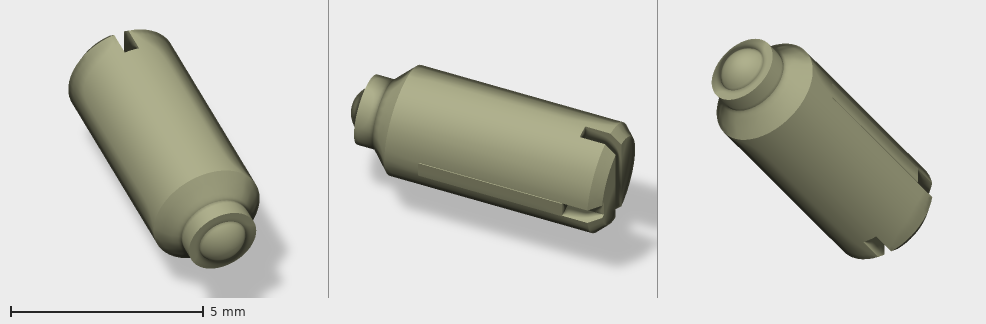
import cadquery as cq
import math

total_length = 7.4
body_diameter = 3.0
end_chamfer = 0.295
cone_start = 5.94
pin_diameter = 1.9
pin_end = 7.0
ball_diameter = 1.48
slot_width = 0.4
slot_depth = 1.0
key_length = 4.0
key_width = 0.47
key_height = 0.445

body_radius = body_diameter / 2
pin_radius = pin_diameter / 2
ball_radius = ball_diameter / 2
ball_center = total_length - ball_radius
cone_end = cone_start + body_radius - pin_radius
ball_exit_radius = math.sqrt(ball_radius**2 - (pin_end - ball_center) ** 2)
ball_arc_offset = ball_radius * math.sqrt(0.5)


def make_turned_body():
    """Chamfered body, cone, pin and protruding ball as one revolved profile."""
    profile = (
        cq.Workplane("XY")
        .lineTo(0, body_radius - end_chamfer)
        .lineTo(end_chamfer, body_radius)
        .lineTo(cone_start, body_radius)
        .lineTo(cone_end, pin_radius)
        .lineTo(pin_end, pin_radius)
        .lineTo(pin_end, ball_exit_radius)
        .threePointArc((ball_center + ball_arc_offset, ball_arc_offset), (total_length, 0))
        .close()
    )
    return profile.revolve(360, (0, 0, 0), (1, 0, 0))


def make_key_bar(start, length):
    """Rectangular bar along X whose outer face touches the +Y side of the body."""
    bar = cq.Workplane("XY").box(length, key_height, key_width, centered=(False, False, True))
    return bar.translate((start, body_radius - key_height, 0))


driver_slot = cq.Workplane("XY").box(
    slot_depth, slot_width, body_diameter, centered=(False, True, True)
)

key_groove = make_key_bar(0, slot_depth)
key = make_key_bar(slot_depth, key_length)

result = make_turned_body().cut(driver_slot).cut(key_groove).union(key)